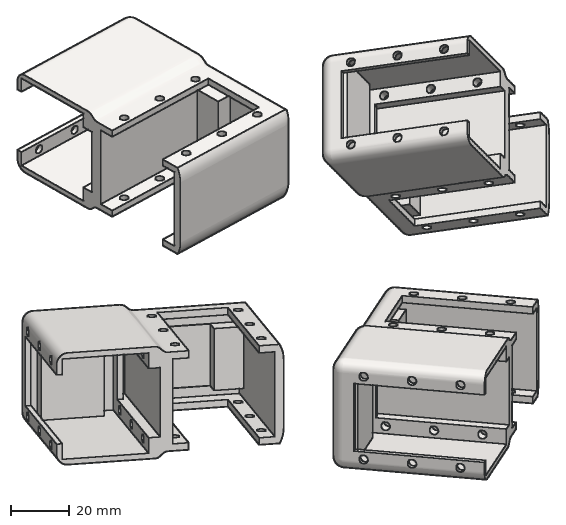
import cadquery as cq

LENGTH = 79.95
DEPTH = 54.0
LEFT_HALF_HEIGHT = 20.025
RIGHT_HALF_HEIGHT = 17.75
SHOULDER_START = 34.5
SHOULDER_END = 39.25
EDGE_RADIUS = 4.0
END_BULGE = 1.4
END_FLAT_HALF_HEIGHT = 12.4
END_ARC_RADIUS = (
    (RIGHT_HALF_HEIGHT - END_FLAT_HALF_HEIGHT) ** 2 + END_BULGE**2
) / (2 * END_BULGE)

WALL = 2.0
BAY_LONG = 35.9
BAY_SHORT = 30.4
LEFT_BAY_START = WALL
LEFT_BAY_END = LEFT_BAY_START + BAY_SHORT
RIGHT_BAY_START = 40.9
RIGHT_BAY_END = RIGHT_BAY_START + BAY_LONG
BAY_BACK = DEPTH - WALL

WINDOW_WIDTH = 24.8
WINDOW_BACK = 46.0
RIGHT_BAY_CENTER = (RIGHT_BAY_START + RIGHT_BAY_END) / 2
SLOT_MIDDLE = 34.45
SLOT_FLOOR = 36.45

STOP_WIDTH = 22.15
STOP_MARGIN = 3.6
STOP_FRONT = WINDOW_BACK
STOP_GAP = 15.1
STOP_GAP_FLOOR = 51.65

HOLE_DIAMETER = 3.0
HOLE_SPACING = 30.4
HOLE_PITCH = 17.0
FIRST_HOLE_Y = 8.5
HOLE_ROWS = 3


def box(x_min, x_max, y_min, y_max, z_min, z_max):
    """Axis-aligned box between the given limits."""
    size = (x_max - x_min, y_max - y_min, z_max - z_min)
    return cq.Workplane().box(*size, centered=False).translate((x_min, y_min, z_min))


def make_body():
    """Solid body with a bulged right end, rounded left corners and a rounded back."""
    end_x = LENGTH - END_BULGE
    mid_rise = (RIGHT_HALF_HEIGHT - END_FLAT_HALF_HEIGHT) / 2
    mid_x = LENGTH - END_ARC_RADIUS + (END_ARC_RADIUS**2 - mid_rise**2) ** 0.5
    mid_z = END_FLAT_HALF_HEIGHT + mid_rise
    level = [(1, 0), (1, 0)]
    level_back = [(-1, 0), (-1, 0)]
    body = (
        cq.Workplane("XZ")
        .moveTo(0, -LEFT_HALF_HEIGHT)
        .lineTo(SHOULDER_START, -LEFT_HALF_HEIGHT)
        .spline([(SHOULDER_END, -RIGHT_HALF_HEIGHT)], tangents=level, includeCurrent=True)
        .lineTo(end_x, -RIGHT_HALF_HEIGHT)
        .threePointArc((mid_x, -mid_z), (LENGTH, -END_FLAT_HALF_HEIGHT))
        .lineTo(LENGTH, END_FLAT_HALF_HEIGHT)
        .threePointArc((mid_x, mid_z), (end_x, RIGHT_HALF_HEIGHT))
        .lineTo(SHOULDER_END, RIGHT_HALF_HEIGHT)
        .spline([(SHOULDER_START, LEFT_HALF_HEIGHT)], tangents=level_back, includeCurrent=True)
        .lineTo(0, LEFT_HALF_HEIGHT)
        .close()
        .extrude(-DEPTH)
    )
    body = body.edges("|Y and <X").fillet(EDGE_RADIUS)
    return body.faces(">Y").edges().fillet(EDGE_RADIUS)


def make_left_bay():
    """Left cavity around its full-height stop block, with the side window and slot."""
    half_height = BAY_LONG / 2
    half_window = WINDOW_WIDTH / 2
    stop_start = LEFT_BAY_START + STOP_MARGIN
    cavity = box(LEFT_BAY_START, LEFT_BAY_END, 0, BAY_BACK, -half_height, half_height)
    stop = box(stop_start, stop_start + STOP_WIDTH, STOP_FRONT, BAY_BACK, -half_height, half_height)
    window = box(0, LEFT_BAY_START, 0, WINDOW_BACK, -half_window, half_window)
    upper_slot = box(LEFT_BAY_END, SLOT_MIDDLE, 0, WINDOW_BACK, -half_window, half_window)
    lower_slot = box(SLOT_MIDDLE, SLOT_FLOOR, 0, BAY_BACK, -half_window, half_window)
    return cavity.cut(stop).union(window).union(upper_slot).union(lower_slot)


def make_right_bay():
    """Right cavity around its split stop block, with the window through both flanges."""
    half_height = BAY_SHORT / 2
    half_window = WINDOW_WIDTH / 2
    half_gap = STOP_GAP / 2
    stop_bottom = STOP_MARGIN - half_height
    stop_top = stop_bottom + STOP_WIDTH
    cavity = box(RIGHT_BAY_START, RIGHT_BAY_END, 0, BAY_BACK, -half_height, half_height)
    stop = box(RIGHT_BAY_START, RIGHT_BAY_END, STOP_FRONT, BAY_BACK, stop_bottom, stop_top)
    gap = box(
        RIGHT_BAY_CENTER - half_gap, RIGHT_BAY_CENTER + half_gap,
        STOP_FRONT, STOP_GAP_FLOOR, stop_bottom, stop_top,
    )
    window = box(
        RIGHT_BAY_CENTER - half_window, RIGHT_BAY_CENTER + half_window,
        0, WINDOW_BACK, -RIGHT_HALF_HEIGHT, RIGHT_HALF_HEIGHT,
    )
    return cavity.cut(stop.cut(gap)).union(window)


def make_holes():
    """Screw holes: along X to the slot floor depth, along Z through the right flanges."""
    rows = [FIRST_HOLE_Y + row * HOLE_PITCH for row in range(HOLE_ROWS)]
    sides = (-HOLE_SPACING / 2, HOLE_SPACING / 2)
    across = cq.Workplane("YZ").pushPoints([(y, z) for y in rows for z in sides])
    upright = cq.Workplane("XY", origin=(RIGHT_BAY_CENTER, 0, 0))
    upright = upright.pushPoints([(x, y) for x in sides for y in rows])
    left_holes = across.circle(HOLE_DIAMETER / 2).extrude(SLOT_FLOOR)
    right_holes = upright.circle(HOLE_DIAMETER / 2).extrude(RIGHT_HALF_HEIGHT, both=True)
    return left_holes, right_holes


left_holes, right_holes = make_holes()
result = make_body().cut(make_left_bay()).cut(make_right_bay())
result = result.cut(left_holes).cut(right_holes)